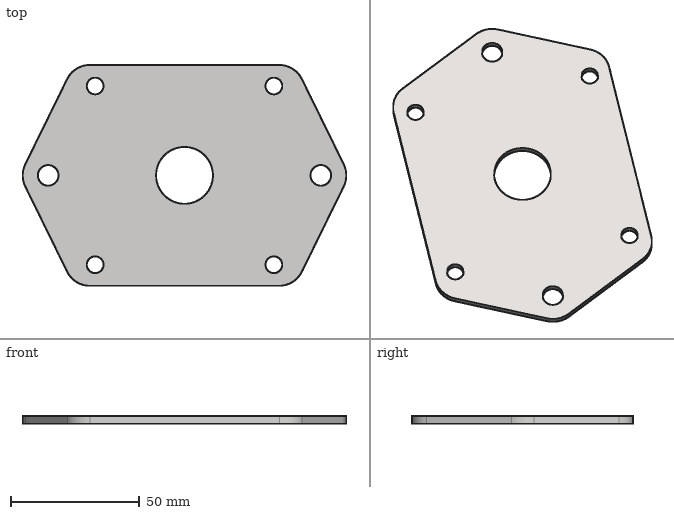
import cadquery as cq

length = 126.0
width = 86.0
thickness = 3.0
corner_radius = 10.0
shoulder_x = 36.8

bore_diameter = 22.0
tip_hole_diameter = 8.0
mount_hole_diameter = 6.4
mount_hole_spacing = 69.5

tip_x = length / 2 - corner_radius
shoulder_y = width / 2 - corner_radius


def rounded_hexagon():
    """Hexagon through the rounding centres, grown outward with arc corners."""
    centres = [
        (tip_x, 0),
        (shoulder_x, shoulder_y),
        (-shoulder_x, shoulder_y),
        (-tip_x, 0),
        (-shoulder_x, -shoulder_y),
        (shoulder_x, -shoulder_y),
    ]
    outline = cq.Workplane("XY").polyline(centres).close()
    return outline.offset2D(corner_radius, "arc").extrude(thickness)


plate = rounded_hexagon()

plate = plate.faces(">Z").workplane(origin=(0, 0, 0)).hole(bore_diameter)

plate = (
    plate.faces(">Z")
    .workplane(origin=(0, 0, 0))
    .pushPoints([(-tip_x, 0), (tip_x, 0)])
    .hole(tip_hole_diameter)
)

result = (
    plate.faces(">Z")
    .workplane(origin=(0, 0, 0))
    .rarray(mount_hole_spacing, mount_hole_spacing, 2, 2)
    .hole(mount_hole_diameter)
)